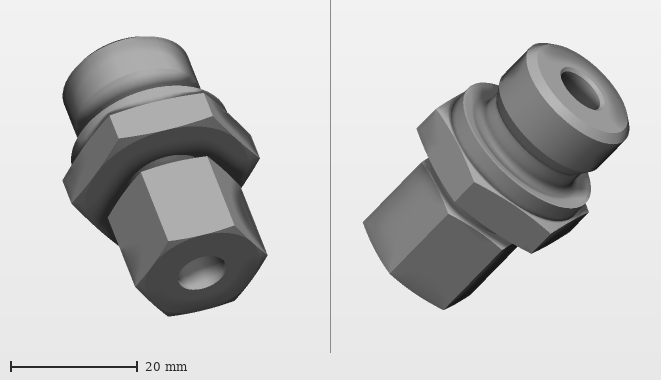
import cadquery as cq
import math


STUD_RADIUS = 10.5
STUD_CHAMFER_DEPTH = 1.3
STUD_CHAMFER_LENGTH = 1.18
STUD_LENGTH = 8.02
RUNOUT_ANGLE = math.radians(30)
RELIEF_RADIUS = 9.2
RELIEF_FILLET = 1.2

COLLAR_X = 13.9
COLLAR_RADIUS = 13.0
COLLAR_LIP = 0.5
DISH_ANGLE = math.radians(8)

HEX_SIDES = 6
BODY_HEX_X = 17.0
BODY_HEX_FLATS = 27.0
BODY_HEX_LENGTH = 6.0
NUT_FLATS = 19.0
NUT_X = 26.5
OVERALL_LENGTH = 42.0
HEX_CHAMFER_ANGLE = math.radians(15)

SPIGOT_NECK_RADIUS = 6.8
SPIGOT_NECK_LENGTH = 2.5
SPIGOT_RADIUS = 8.0

BORE_RADIUS = 4.0
BORE_CHAMFER = 0.5

BODY_HEX_END = BODY_HEX_X + BODY_HEX_LENGTH
NUT_LENGTH = OVERALL_LENGTH - NUT_X
SPIGOT_END = NUT_X + NUT_LENGTH / 2


def revolve_about_x(profile):
    """Revolve a closed profile, drawn as (x, radius), about the X axis."""
    return profile.close().revolve(360, (0, 0, 0), (1, 0, 0))


def cylinder(x_start, x_end, radius):
    """Solid cylinder along X."""
    return cq.Workplane("YZ", origin=(x_start, 0, 0)).circle(radius).extrude(x_end - x_start)


def chamfered_hexagon(x_start, length, flats):
    """Hexagonal prism along X, with flats facing +Z and -Z and turned corners at both ends."""
    flat_radius = flats / 2
    corner_radius = flat_radius / math.cos(math.pi / HEX_SIDES)
    chamfer_length = (corner_radius - flat_radius) * math.tan(HEX_CHAMFER_ANGLE)
    x_end = x_start + length
    prism = (
        cq.Workplane("YZ", origin=(x_start, 0, 0))
        .polygon(HEX_SIDES, 2 * corner_radius)
        .extrude(length)
    )
    turned_envelope = revolve_about_x(
        cq.Workplane("XY")
        .moveTo(x_start, 0)
        .lineTo(x_start, flat_radius)
        .lineTo(x_start + chamfer_length, corner_radius)
        .lineTo(x_end - chamfer_length, corner_radius)
        .lineTo(x_end, flat_radius)
        .lineTo(x_end, 0)
    )
    return prism.intersect(turned_envelope)


def make_stud_and_collar():
    """Stud, relief groove and collar; the relief runs through a fillet into the dished face."""
    runout_length = (STUD_RADIUS - RELIEF_RADIUS) / math.tan(RUNOUT_ANGLE)
    lip_inner_radius = COLLAR_RADIUS - COLLAR_LIP
    dish_inner_radius = RELIEF_RADIUS + RELIEF_FILLET * (1 + math.sin(DISH_ANGLE))
    dish_x = COLLAR_X + (lip_inner_radius - dish_inner_radius) * math.tan(DISH_ANGLE)
    relief_end = dish_x - RELIEF_FILLET * math.cos(DISH_ANGLE)
    return revolve_about_x(
        cq.Workplane("XY")
        .moveTo(0, 0)
        .lineTo(0, STUD_RADIUS - STUD_CHAMFER_DEPTH)
        .lineTo(STUD_CHAMFER_LENGTH, STUD_RADIUS)
        .lineTo(STUD_LENGTH, STUD_RADIUS)
        .lineTo(STUD_LENGTH + runout_length, RELIEF_RADIUS)
        .lineTo(relief_end, RELIEF_RADIUS)
        .radiusArc((dish_x, dish_inner_radius), -RELIEF_FILLET)
        .lineTo(COLLAR_X, lip_inner_radius)
        .lineTo(COLLAR_X, COLLAR_RADIUS)
        .lineTo(BODY_HEX_X, COLLAR_RADIUS)
        .lineTo(BODY_HEX_X, 0)
    )


def make_spigot():
    """Plain neck behind the hexagon that widens through a cone to the nut thread."""
    cone_start = BODY_HEX_END + SPIGOT_NECK_LENGTH
    cone_length = (SPIGOT_RADIUS - SPIGOT_NECK_RADIUS) / math.tan(RUNOUT_ANGLE)
    return revolve_about_x(
        cq.Workplane("XY")
        .moveTo(BODY_HEX_END, 0)
        .lineTo(BODY_HEX_END, SPIGOT_NECK_RADIUS)
        .lineTo(cone_start, SPIGOT_NECK_RADIUS)
        .lineTo(cone_start + cone_length, SPIGOT_RADIUS)
        .lineTo(SPIGOT_END, SPIGOT_RADIUS)
        .lineTo(SPIGOT_END, 0)
    )


def make_bore():
    """Through bore with a chamfered mouth at the front face of the stud."""
    mouth = revolve_about_x(
        cq.Workplane("XY")
        .moveTo(0, 0)
        .lineTo(0, BORE_RADIUS + BORE_CHAMFER)
        .lineTo(BORE_CHAMFER, BORE_RADIUS)
        .lineTo(BORE_CHAMFER, 0)
    )
    return cylinder(0, OVERALL_LENGTH, BORE_RADIUS).union(mouth)


def make_fitting_body():
    """Fitting body: stud, collar, hexagon and spigot in one piece."""
    hexagon = chamfered_hexagon(BODY_HEX_X, BODY_HEX_LENGTH, BODY_HEX_FLATS)
    return make_stud_and_collar().union(hexagon).union(make_spigot()).cut(make_bore())


def make_union_nut():
    """Union nut: the spigot fills its socket as far as the seat, and the bore continues behind."""
    nut = chamfered_hexagon(NUT_X, NUT_LENGTH, NUT_FLATS)
    socket = cylinder(NUT_X, SPIGOT_END, SPIGOT_RADIUS)
    return nut.cut(socket).cut(make_bore())


fitting_body = make_fitting_body()
union_nut = make_union_nut()

result = cq.Compound.makeCompound([fitting_body.val(), union_nut.val()])